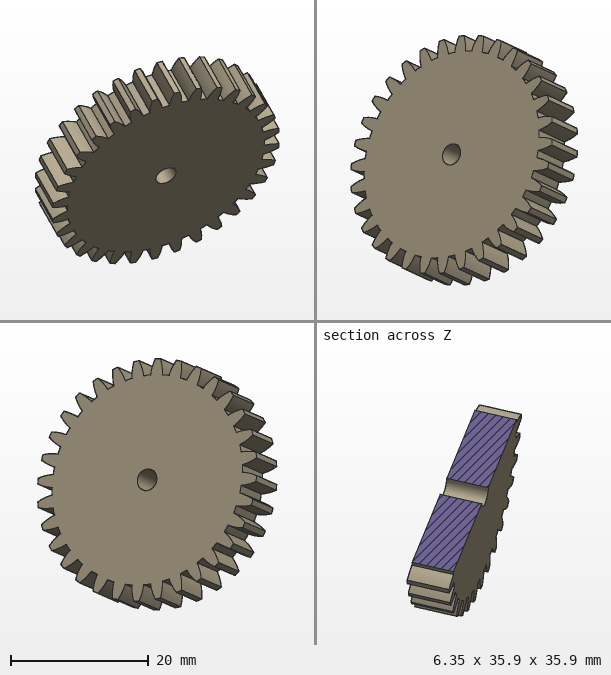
import cadquery as cq
import math

overall_size = 35.88
face_width = 6.35
bore_diameter = 3.2
tooth_count = 32
root_diameter = 31.2

tip_half_angle = 1.4
pitch_half_angle = 2.65
root_half_angle = 3.6

tooth_spacing = 360 / tooth_count
half_spacing = tooth_spacing / 2

tip_radius = overall_size / 2 / math.cos(math.radians(half_spacing - tip_half_angle))
root_radius = root_diameter / 2

module = 2 * tip_radius / (tooth_count + 2)
pitch_radius = module * tooth_count / 2


def polar_point(radius, angle):
    """Point in the plane of the gear at an angle in degrees."""
    turn = math.radians(angle)
    return radius * math.cos(turn), radius * math.sin(turn)


def add_tooth(outline, center_angle):
    """Add a tooth with curved flanks, then the root arc to the next tooth."""
    pitch_start = polar_point(pitch_radius, center_angle - pitch_half_angle)
    tip_start = polar_point(tip_radius, center_angle - tip_half_angle)
    tip_middle = polar_point(tip_radius, center_angle)
    tip_end = polar_point(tip_radius, center_angle + tip_half_angle)
    pitch_end = polar_point(pitch_radius, center_angle + pitch_half_angle)
    root_start = polar_point(root_radius, center_angle + root_half_angle)
    root_middle = polar_point(root_radius, center_angle + half_spacing)
    root_end = polar_point(root_radius, center_angle + tooth_spacing - root_half_angle)

    outline = outline.threePointArc(pitch_start, tip_start)
    outline = outline.threePointArc(tip_middle, tip_end)
    outline = outline.threePointArc(pitch_end, root_start)
    return outline.threePointArc(root_middle, root_end)


def make_gear_blank():
    """Toothed disc centred on the origin, without its bore."""
    outline = cq.Workplane("YZ", origin=(-face_width / 2, 0, 0))
    outline = outline.moveTo(*polar_point(root_radius, half_spacing - root_half_angle))
    for index in range(tooth_count):
        outline = add_tooth(outline, half_spacing + index * tooth_spacing)
    return outline.close().extrude(face_width)


result = make_gear_blank().faces("<X").workplane(origin=(0, 0, 0)).hole(bore_diameter)